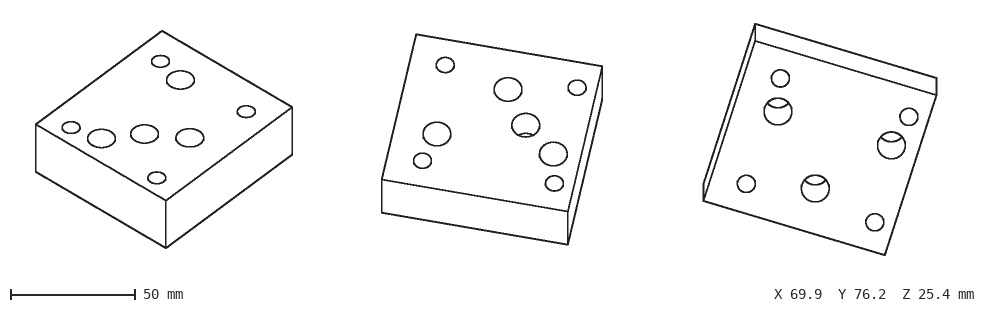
import cadquery as cq
import math

block_width = 69.9
block_length = 76.2
block_height = 25.4

bolt_diameter = 7.2
bolt_spacing_x = 46.0
bolt_spacing_y = 53.95
bolt_pattern_shift_y = -3.2

port_diameter = 11.1
side_port_x = -9.5
side_port_spacing_y = 47.6
middle_port_x = 16.7

blind_port_x = 1.6
blind_port_y = -10.3
blind_port_depth = 15.25
drill_point_angle = 120.0


def through_holes(diameter, positions):
    """Vertical drills through the whole block, placed in the bolt pattern."""
    return (
        cq.Workplane("XY")
        .center(0, bolt_pattern_shift_y)
        .pushPoints(positions)
        .circle(diameter / 2)
        .extrude(block_height)
    )


def blind_port():
    """Drill with a conical point, entering from the top face."""
    radius = port_diameter / 2
    wall_bottom = block_height - blind_port_depth
    point_depth = radius / math.tan(math.radians(drill_point_angle / 2))
    half_profile = [
        (0, block_height),
        (radius, block_height),
        (radius, wall_bottom),
        (0, wall_bottom - point_depth),
    ]
    drill = cq.Workplane("XZ").polyline(half_profile).close().revolve(360, (0, 0, 0), (0, 1, 0))
    return drill.translate((blind_port_x, bolt_pattern_shift_y + blind_port_y, 0))


bolt_positions = [
    (x_side * bolt_spacing_x / 2, y_side * bolt_spacing_y / 2)
    for x_side in (-1, 1)
    for y_side in (-1, 1)
]
through_port_positions = [
    (side_port_x, -side_port_spacing_y / 2),
    (side_port_x, side_port_spacing_y / 2),
    (middle_port_x, 0),
]

block = cq.Workplane("XY").box(block_width, block_length, block_height, centered=(True, True, False))

result = (
    block
    .cut(through_holes(bolt_diameter, bolt_positions))
    .cut(through_holes(port_diameter, through_port_positions))
    .cut(blind_port())
)